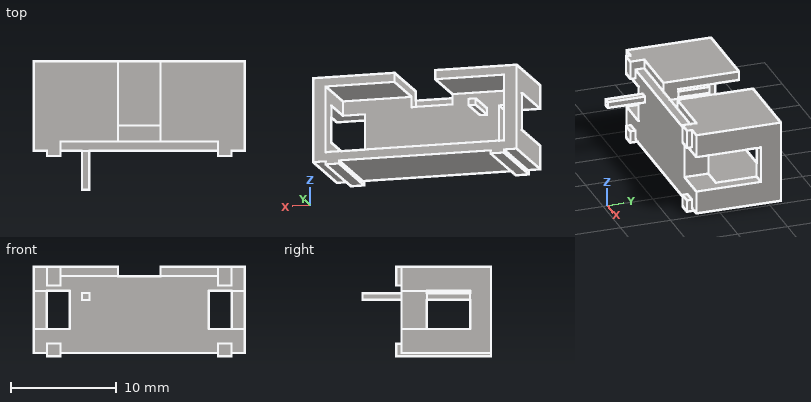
import cadquery as cq

length = 20.0
depth = 8.5
height = 8.2

side_wall = 1.25
front_wall = 2.4
floor_thickness = 0.9
roof_thickness = floor_thickness

window_inset = 3.4
window_depth = 6.5
window_bottom = 2.3
window_top = height - window_bottom

slot_width = 4.0
slot_drop = 1.9

ledge_depth = 0.9
ledge_drop = roof_thickness

foot_width = 1.3
foot_projection = 0.5
foot_outer_offset = side_wall
upper_foot_height = 1.8
lower_foot_height = 1.2
rail_drop = 0.3

pin_width = 0.7
pin_height = 0.62
pin_centre_x = -5.08
pin_centre_z = 5.37
pin_projection = 3.7
pin_end_y = window_depth

foot_inner_offset = foot_outer_offset + foot_width
foot_centre_x = length / 2 - foot_outer_offset - foot_width / 2
ledge_length = length - 2 * foot_inner_offset


def block(centre_x, width, front_y, back_y, bottom_z, top_z):
    """Box centred on centre_x in X and given by its limits in Y and Z."""
    box = cq.Workplane("XY").box(width, back_y - front_y, top_z - bottom_z, centered=(True, False, False))
    return box.translate((centre_x, front_y, bottom_z))


def make_shell():
    """Hollow housing, open at the back."""
    body = block(0, length, 0, depth, 0, height)
    cavity_width = length - 2 * side_wall
    cavity = block(0, cavity_width, front_wall, depth, floor_thickness, height - roof_thickness)
    return body.cut(cavity)


def cut_top(body):
    """Cut the keying slot and the ledge between the upper feet."""
    slot = block(0, slot_width, ledge_depth, depth, height - slot_drop, height)
    ledge = block(0, ledge_length, 0, ledge_depth, height - ledge_drop, height)
    return body.cut(slot).cut(ledge)


def cut_windows(body):
    """Cut a window into each end, through to the front face."""
    for side in (-1, 1):
        centre_x = side * (length - window_inset) / 2
        window = block(centre_x, window_inset, 0, window_depth, window_bottom, window_top)
        body = body.cut(window)
    return body


def add_feet(body):
    """Add upper and lower feet at each end, with a rail running back from each lower foot."""
    for side in (-1, 1):
        x = side * foot_centre_x
        upper_foot = block(x, foot_width, -foot_projection, 0, height - upper_foot_height, height)
        lower_foot = block(x, foot_width, -foot_projection, 0, -rail_drop, lower_foot_height - rail_drop)
        rail = block(x, foot_width, 0, depth, -rail_drop, 0)
        body = body.union(upper_foot).union(lower_foot).union(rail)
    return body


def add_pin(body):
    """Add the contact pin that passes through the front wall."""
    bottom_z = pin_centre_z - pin_height / 2
    pin = block(pin_centre_x, pin_width, -pin_projection, pin_end_y, bottom_z, bottom_z + pin_height)
    return body.union(pin)


result = add_pin(add_feet(cut_windows(cut_top(make_shell()))))